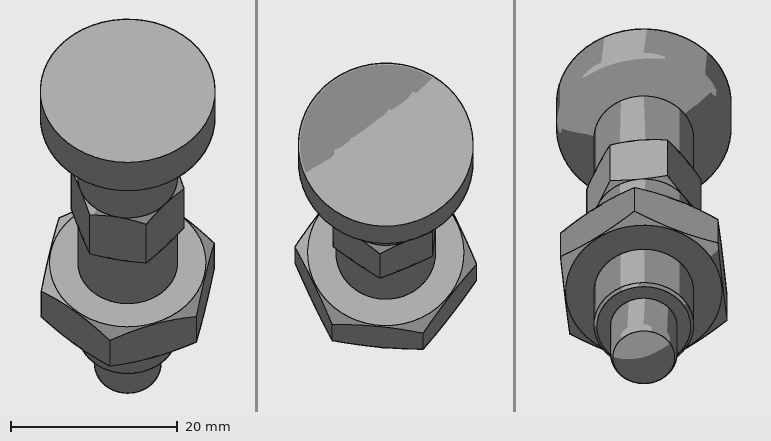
import cadquery as cq
import math

total_height = 59.0

knob_diameter = 21.0
knob_rim_width = 0.25
knob_dish_depth = 1.1
knob_round_top_z = 53.45
knob_round_bottom_z = 52.4
knob_round_bottom_radius = 9.85
knob_bottom_z = 51.0

body_diameter = 12.0
body_bottom_z = 8.0
body_chamfer = 0.35

pin_diameter = 8.0
pin_round_top_z = 2.0
pin_crown_edge_z = 1.0
pin_crown_edge_radius = 3.7

collar_bottom_z = 32.0
collar_top_z = 41.0

nut_corner_width = 21.95
nut_bottom_z = 16.0
nut_top_z = 23.0

hex_face_inset = 0.1
hex_top_chamfer_angle = 30.0
collar_bottom_chamfer_angle = 18.0
nut_bottom_chamfer_angle = 25.0


def tangent_arc_middle(radius, top_z, end_radius, end_z):
    """Middle of the arc that leaves a vertical wall at top_z and curves in to the end point."""
    inward = radius - end_radius
    drop = top_z - end_z
    arc_radius = (inward**2 + drop**2) / (2 * inward)
    half_angle = math.asin(drop / arc_radius) / 2
    return (
        radius - arc_radius * (1 - math.cos(half_angle)),
        top_z - arc_radius * math.sin(half_angle),
    )


def make_turned_core():
    """Pin, body and dished knob as one turned profile."""
    pin_radius = pin_diameter / 2
    body_radius = body_diameter / 2
    knob_radius = knob_diameter / 2
    dish_radius = knob_radius - knob_rim_width

    crown_sphere_radius = (pin_crown_edge_radius**2 + pin_crown_edge_z**2) / (2 * pin_crown_edge_z)
    crown_half_angle = math.asin(pin_crown_edge_radius / crown_sphere_radius) / 2
    crown_middle = (
        crown_sphere_radius * math.sin(crown_half_angle),
        crown_sphere_radius * (1 - math.cos(crown_half_angle)),
    )
    pin_round_middle = tangent_arc_middle(
        pin_radius, pin_round_top_z, pin_crown_edge_radius, pin_crown_edge_z
    )
    knob_round_middle = tangent_arc_middle(
        knob_radius, knob_round_top_z, knob_round_bottom_radius, knob_round_bottom_z
    )

    dish_bottom_z = total_height - knob_dish_depth
    dish_sphere_radius = (dish_radius**2 + knob_dish_depth**2) / (2 * knob_dish_depth)
    dish_half_angle = math.asin(dish_radius / dish_sphere_radius) / 2
    dish_middle = (
        dish_sphere_radius * math.sin(dish_half_angle),
        dish_bottom_z + dish_sphere_radius * (1 - math.cos(dish_half_angle)),
    )

    profile = (
        cq.Workplane("XZ")
        .moveTo(0, 0)
        .threePointArc(crown_middle, (pin_crown_edge_radius, pin_crown_edge_z))
        .threePointArc(pin_round_middle, (pin_radius, pin_round_top_z))
        .lineTo(pin_radius, body_bottom_z)
        .lineTo(body_radius - body_chamfer, body_bottom_z)
        .lineTo(body_radius, body_bottom_z + body_chamfer)
        .lineTo(body_radius, knob_bottom_z)
        .lineTo(knob_round_bottom_radius, knob_round_bottom_z)
        .threePointArc(knob_round_middle, (knob_radius, knob_round_top_z))
        .lineTo(knob_radius, total_height)
        .lineTo(dish_radius, total_height)
        .threePointArc(dish_middle, (0, dish_bottom_z))
        .close()
    )
    return profile.revolve(360, (0, 0, 0), (0, 1, 0))


def make_hexagon(corner_width, bottom_z, top_z, bottom_chamfer_angle):
    """Hexagonal prism with corners on the X axis and conical end chamfers."""
    prism = (
        cq.Workplane("XY")
        .workplane(offset=bottom_z)
        .polygon(6, corner_width)
        .extrude(top_z - bottom_z)
    )
    corner_radius = corner_width / 2
    face_radius = corner_radius * math.cos(math.pi / 6) - hex_face_inset
    chamfer_width = corner_radius - face_radius
    bottom_drop = chamfer_width * math.tan(math.radians(bottom_chamfer_angle))
    top_drop = chamfer_width * math.tan(math.radians(hex_top_chamfer_angle))
    turning_envelope = (
        cq.Workplane("XZ")
        .moveTo(0, bottom_z)
        .lineTo(face_radius, bottom_z)
        .lineTo(corner_radius, bottom_z + bottom_drop)
        .lineTo(corner_radius, top_z - top_drop)
        .lineTo(face_radius, top_z)
        .lineTo(0, top_z)
        .close()
        .revolve(360, (0, 0, 0), (0, 1, 0))
    )
    return prism.intersect(turning_envelope)


collar_corner_width = body_diameter / math.cos(math.pi / 6)
collar = make_hexagon(
    collar_corner_width, collar_bottom_z, collar_top_z, collar_bottom_chamfer_angle
).rotate((0, 0, 0), (0, 0, 1), 90)
nut = make_hexagon(nut_corner_width, nut_bottom_z, nut_top_z, nut_bottom_chamfer_angle)

result = make_turned_core().union(collar).union(nut)